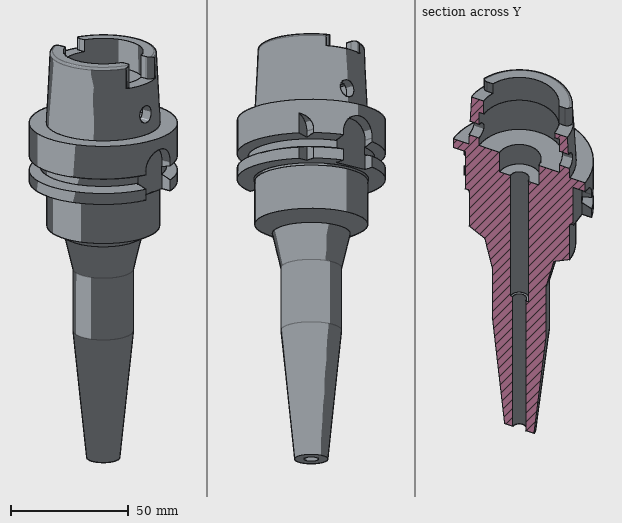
import cadquery as cq

total_length = 182.0
shank_length = 32.0
flange_height = 26.0
flange_top = total_length - shank_length
flange_bottom = flange_top - flange_height

shank_base_radius = 24.2
shank_top_radius = 22.5
shank_rim_round = 1.1

flange_radius = 31.5
groove_floor_radius = 27.0
groove_top = 135.2
groove_floor_top = 133.8
groove_floor_bottom = 130.5
groove_bottom = 128.9

body_radius = 24.0
relief_radius = 24.4
relief_height = 1.0
body_bottom = 104.0
neck_top_radius = 16.5
neck_top = 100.0
nose_radius = 13.0
nose_top = 84.6
nose_taper_top = 57.0
tip_radius = 7.1

mouth_radius = 17.0
mouth_depth = 12.7
chamber_radius = 19.1
chamber_depth = 31.0
socket_radius = 9.3
socket_depth = 41.9
coolant_radius = 4.2
coolant_depth = 109.2
tool_bore_radius = 3.1

drive_slot_width = 12.4
drive_corner_round = 2.2
left_slot_depth = 5.3
right_slot_depth = 9.8

cross_hole_diameter = 7.5
cross_hole_height = 9.0

key_radius = 8.0
key_top_margin = 5.1
key_floor = 25.8
key_arc_center = flange_top - key_top_margin - key_radius

notch_floor = 20.2
notch_inner_side = 19.7


def revolve_profile(points):
    """Revolve (radius, height) points about the Z axis."""
    return cq.Workplane("XZ").polyline(points).close().revolve(360, (0, 0), (0, 1))


def outer_body():
    body = revolve_profile([
        (0, 0),
        (tip_radius, 0),
        (nose_radius, nose_taper_top),
        (nose_radius, nose_top),
        (neck_top_radius, neck_top),
        (body_radius, body_bottom),
        (body_radius, flange_bottom - relief_height),
        (relief_radius, flange_bottom),
        (flange_radius, flange_bottom),
        (flange_radius, groove_bottom),
        (groove_floor_radius, groove_floor_bottom),
        (groove_floor_radius, groove_floor_top),
        (flange_radius, groove_top),
        (flange_radius, flange_top),
        (shank_base_radius, flange_top),
        (shank_top_radius, total_length),
        (0, total_length),
    ])
    return body.faces(">Z").edges().fillet(shank_rim_round)


def stepped_bore():
    return revolve_profile([
        (0, 0),
        (tool_bore_radius, 0),
        (tool_bore_radius, total_length - coolant_depth),
        (coolant_radius, total_length - coolant_depth),
        (coolant_radius, total_length - socket_depth),
        (socket_radius, total_length - socket_depth),
        (socket_radius, total_length - chamber_depth),
        (chamber_radius, total_length - chamber_depth),
        (chamber_radius, total_length - mouth_depth),
        (mouth_radius, total_length - mouth_depth),
        (mouth_radius, total_length),
        (0, total_length),
    ])


def drive_slot(side, depth):
    """Slot through the rim on the given X side, its mouth flaring round the outer corners."""
    half_width = drive_slot_width / 2
    center_y = half_width + drive_corner_round
    center_radius = shank_top_radius - drive_corner_round
    center_x = (center_radius**2 - center_y**2) ** 0.5
    tangent_scale = shank_top_radius / center_radius
    tangent_x = center_x * tangent_scale
    tangent_y = center_y * tangent_scale
    normal_x = center_x / center_radius
    normal_y = center_y / center_radius - 1
    normal_length = (normal_x**2 + normal_y**2) ** 0.5
    middle_x = center_x + drive_corner_round * normal_x / normal_length
    middle_y = center_y + drive_corner_round * normal_y / normal_length
    return (
        cq.Workplane("XY", origin=(0, 0, total_length - depth))
        .moveTo(0, -half_width)
        .lineTo(side * center_x, -half_width)
        .threePointArc((side * middle_x, -middle_y), (side * tangent_x, -tangent_y))
        .lineTo(side * flange_radius, -tangent_y)
        .lineTo(side * flange_radius, tangent_y)
        .lineTo(side * tangent_x, tangent_y)
        .threePointArc((side * middle_x, middle_y), (side * center_x, half_width))
        .lineTo(0, half_width)
        .close()
        .extrude(depth)
    )


def flange_slot(side, center_y, floor):
    """Round-topped slot cut along X, open at the flange bottom, with a flat floor."""
    return (
        cq.Workplane("YZ", origin=(side * floor, 0, 0))
        .moveTo(center_y - key_radius, flange_bottom)
        .lineTo(center_y - key_radius, key_arc_center)
        .threePointArc((center_y, key_arc_center + key_radius), (center_y + key_radius, key_arc_center))
        .lineTo(center_y + key_radius, flange_bottom)
        .close()
        .extrude(side * flange_radius)
    )


def cross_hole():
    return (
        cq.Workplane("YZ")
        .center(0, flange_top + cross_hole_height)
        .circle(cross_hole_diameter / 2)
        .extrude(flange_radius, both=True)
    )


result = outer_body().cut(stepped_bore()).cut(cross_hole())
for side, slot_depth in ((-1, left_slot_depth), (1, right_slot_depth)):
    result = result.cut(drive_slot(side, slot_depth))
    result = result.cut(flange_slot(side, 0, key_floor))
result = result.cut(flange_slot(-1, notch_inner_side + key_radius, notch_floor))